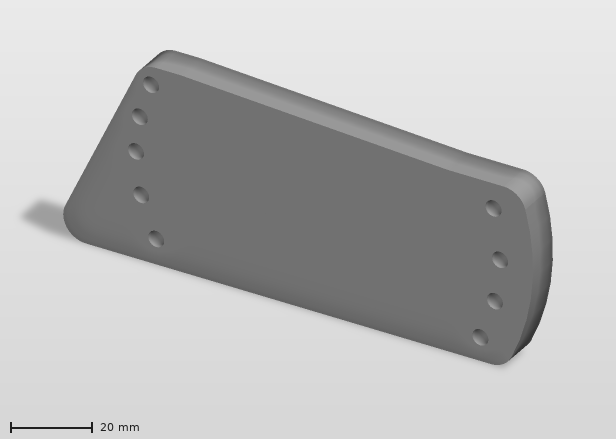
import cadquery as cq
import math

length = 133.3
thickness = 9.6
height = 55.6

corner_radius = 6.4
bend_radius = 25.3
left_lean = 25.0
right_top_height = 51.3
slope_start_x = 33.3
slope_end_x = 109.0
bulge_radius = 61.3
bulge_center_z = 30.4
bulge_center_x = length - bulge_radius

hole_diameter = 4.5
left_holes = [(24.9, 50.4), (21.7, 40.4), (20.7, 30.3), (22.1, 18.4), (26.4, 7.2)]
right_holes = [(122.0, 44.2), (123.9, 30.3), (122.5, 18.1), (118.3, 6.7)]


def bulge_point(z):
    """Point of the bulging right end at height z."""
    reach = math.sqrt(bulge_radius**2 - (z - bulge_center_z) ** 2)
    return (bulge_center_x + reach, z)


def sharp_plate():
    """Plate with sharp corners, placed so the rounded lower left corner will touch X = 0."""
    lean = math.radians(left_lean)
    half_corner = (math.pi / 2 - lean) / 2
    bottom_left_x = corner_radius - corner_radius / math.tan(half_corner)
    top_left_x = bottom_left_x + height * math.tan(lean)

    slope = math.atan2(height - right_top_height, slope_end_x - slope_start_x)
    tangent = bend_radius * math.tan(slope / 2)
    slope_dx = tangent * math.cos(slope)
    slope_dz = tangent * math.sin(slope)
    return (
        cq.Workplane("XZ")
        .moveTo(bottom_left_x, 0)
        .lineTo(*bulge_point(0))
        .threePointArc((length, bulge_center_z), bulge_point(right_top_height))
        .lineTo(slope_end_x + tangent, right_top_height)
        .tangentArcPoint((slope_end_x - slope_dx, right_top_height + slope_dz), relative=False)
        .lineTo(slope_start_x + slope_dx, height - slope_dz)
        .tangentArcPoint((slope_start_x - tangent, height), relative=False)
        .lineTo(top_left_x, height)
        .close()
        .extrude(-thickness)
    )


def round_corners(plate):
    """Round the four corners, which lie outside the two bends of the top."""

    def is_corner(edge):
        x = edge.Center().x
        return x < slope_start_x - corner_radius or x > slope_end_x + corner_radius

    return plate.edges("|Y").filter(is_corner).fillet(corner_radius)


def hole_pins():
    """Cylinders that cut the holes through the plate."""
    return (
        cq.Workplane("XZ")
        .pushPoints(left_holes + right_holes)
        .circle(hole_diameter / 2)
        .extrude(-thickness)
    )


result = round_corners(sharp_plate()).cut(hole_pins())